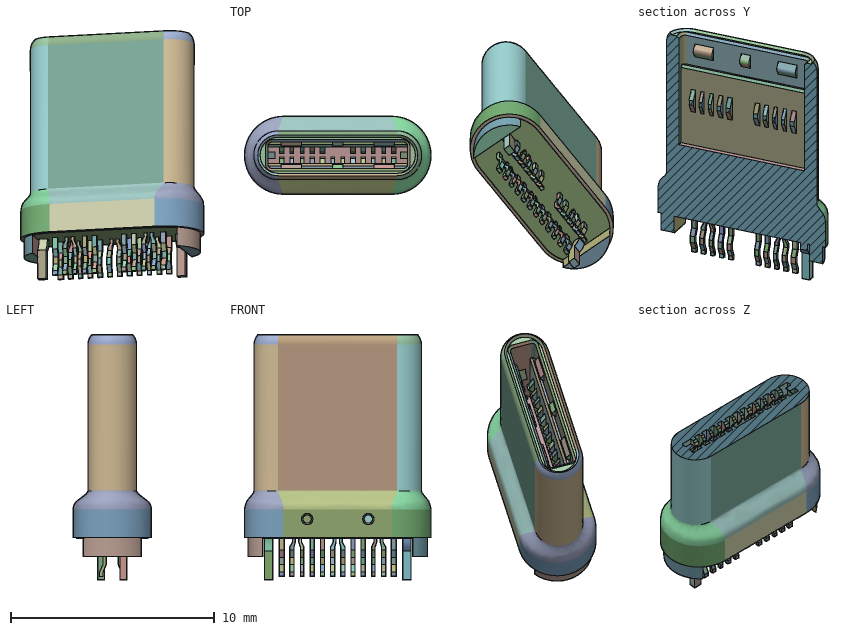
import cadquery as cq
import math


TOTAL_HEIGHT = 12.04
BASE_LENGTH = 9.17
BASE_WIDTH = 3.84
BASE_BOTTOM = 2.07
BASE_TOP = 3.44
SHELL_LENGTH = 8.25
SHELL_WIDTH = 2.4
SHELL_BOTTOM = 4.37
SHELL_RADIUS = SHELL_WIDTH / 2
SHELL_STRAIGHT = SHELL_LENGTH - SHELL_WIDTH

SHOULDER_SECTIONS = 7
SHOULDER_SKEW = 1.4

RIM_HEIGHT = 0.48
RIM_INSET = 0.19
LEAD_IN = 0.12

CHAMBER_LENGTH = 6.84
CHAMBER_WIDTH = 1.29
CHAMBER_CORNER = 0.18
CHAMBER_FLOOR = 10.23
SLOT_WIDTH = 0.81
SLOT_FLOOR = 6.02

TAB_CENTRE_Z = 11.08
TAB_HEIGHT = 0.7
TAB_RAMP_DEPTH = 0.16
TAB_REACH = 0.19
TAB_NOSE = 0.24
SIDE_TAB_X = 2.28
SIDE_TAB_WIDTH = 1.01
MIDDLE_TAB_WIDTH = 0.5

CONTACT_COUNT = 12
CONTACT_ROW_SPAN = 5.5
PITCH = CONTACT_ROW_SPAN / (CONTACT_COUNT - 1)
HALF_CONTACT_WIDTHS = [0.24, 0.17, 0.17, 0.2, 0.24, 0.17]
CONTACT_CENTRE_Z = 8.43
CONTACT_HEIGHT = 1.2
CONTACT_RAMP_DEPTH = 0.24
CONTACT_REACH = 0.33
CONTACT_NOSE = 0.24

LATCH_CENTRE_Z = 8.67
LATCH_HEIGHT = 0.96
LATCH_REACH = 0.33
LATCH_WIDTH = 0.33

DIMPLE_X = 3 * PITCH
DIMPLE_Z = 2.99
DIMPLE_MOUTH_RADIUS = 0.28
DIMPLE_FLOOR_RADIUS = 0.2
DIMPLE_DEPTH = 0.15

INSERT_INSET = 0.17
INSERT_DROP = 0.04
WING_BOTTOM = 1.14
WING_INNER_X = 3.67

HALF_PIN_WIDTHS = [0.25, 0.22, 0.18, 0.22, 0.22, 0.22]
PIN_BOTTOM = 0.17
PIN_THICKNESS = 0.17
PIN_FOOT_Y = 0.46
PIN_WAIST_Y = 0.29
LOWER_BEND = (0.37, 0.75)
UPPER_BEND = (1.1, 1.47)
NECK_BEND = (1.61, 1.85)
NECK_WIDTH = 0.15
NECK_SHIFT = 0.1

LEG_X = 3.4
LEG_WIDTH = 0.42
LEG_FOOT_Y = 0.37
LEG_ROOT_Y = 0.07
LEG_THICKNESS = 0.35
LEG_BEND = (1.42, BASE_BOTTOM)

ROOT_Z = BASE_BOTTOM + 0.12


def stadium(length, width, z):
    """A stadium outline lying at height z."""
    return cq.Workplane("XY", origin=(0, 0, z)).slot2D(length, width)


def box(x_size, y_size, z_low, z_high):
    """A block centred on the Z axis."""
    return cq.Workplane("XY", origin=(0, 0, z_low)).rect(x_size, y_size).extrude(z_high - z_low)


def make_shoulder():
    """Smooth S-shaped shoulder leading from the base outline to the shell outline."""
    outlines = []
    for section in range(SHOULDER_SECTIONS):
        rise = section / (SHOULDER_SECTIONS - 1)
        inset = (1 - math.cos(math.pi * rise**SHOULDER_SKEW)) / 2
        length = BASE_LENGTH + inset * (SHELL_LENGTH - BASE_LENGTH)
        width = BASE_WIDTH + inset * (SHELL_WIDTH - BASE_WIDTH)
        z = BASE_TOP + rise * (SHELL_BOTTOM - BASE_TOP)
        outlines.append(stadium(length, width, z).wires().val())
    return cq.Workplane(cq.Solid.makeLoft(outlines))


def make_shell():
    """Solid stadium column whose top rim curves inward."""
    rim_start = TOTAL_HEIGHT - RIM_HEIGHT
    rim_arc_radius = (RIM_HEIGHT**2 + RIM_INSET**2) / (2 * RIM_INSET)
    mid_angle = math.asin(RIM_HEIGHT / rim_arc_radius) / 2
    rim_middle = (
        SHELL_RADIUS - rim_arc_radius * (1 - math.cos(mid_angle)),
        rim_start + rim_arc_radius * math.sin(mid_angle),
    )
    top_radius = SHELL_RADIUS - RIM_INSET

    def half_profile(plane):
        return (
            plane.moveTo(0, SHELL_BOTTOM)
            .lineTo(SHELL_RADIUS, SHELL_BOTTOM)
            .lineTo(SHELL_RADIUS, rim_start)
            .threePointArc(rim_middle, (top_radius, TOTAL_HEIGHT))
            .lineTo(0, TOTAL_HEIGHT)
            .close()
        )

    end_x = SHELL_STRAIGHT / 2
    half = half_profile(cq.Workplane("YZ", origin=(-end_x, 0, 0))).extrude(SHELL_STRAIGHT)
    shell = half.union(half.mirror("XZ"))
    for x in (-end_x, end_x):
        end = half_profile(cq.Workplane("XZ", origin=(x, 0, 0))).revolve(360, (0, 0), (0, 1))
        shell = shell.union(end)
    return shell


def make_lead_in():
    """Stadium funnel that opens onto the whole top of the rim, as a cutter."""
    length = SHELL_LENGTH - 2 * RIM_INSET
    width = SHELL_WIDTH - 2 * RIM_INSET
    top = stadium(length, width, TOTAL_HEIGHT)
    bottom = stadium(length - 2 * LEAD_IN, width - 2 * LEAD_IN, TOTAL_HEIGHT - LEAD_IN)
    return cq.Workplane(cq.Solid.makeLoft([bottom.wires().val(), top.wires().val()], True))


def make_cavity():
    """Lead-in, bevelled mouth, front chamber, sloping ledge and tongue slot, as one cutter."""
    mouth_z = TOTAL_HEIGHT - LEAD_IN
    chamber = box(CHAMBER_LENGTH, CHAMBER_WIDTH, CHAMBER_FLOOR, mouth_z)
    chamber = chamber.edges("|Z").fillet(CHAMBER_CORNER)
    bevel = 2 * LEAD_IN
    opening = box(CHAMBER_LENGTH + bevel, CHAMBER_WIDTH + bevel, CHAMBER_FLOOR, mouth_z)
    opening = opening.edges("|Z").fillet(CHAMBER_CORNER + LEAD_IN)
    mouth_top = opening.faces(">Z").wires().val()
    mouth_bottom = chamber.translate((0, 0, -LEAD_IN)).faces(">Z").wires().val()
    mouth = cq.Workplane(cq.Solid.makeLoft([mouth_bottom, mouth_top], True))
    slot = box(CHAMBER_LENGTH, SLOT_WIDTH, SLOT_FLOOR, CHAMBER_FLOOR)
    half_slot = SLOT_WIDTH / 2
    slope = (
        cq.Workplane("YZ", origin=(-CHAMBER_LENGTH / 2, 0, 0))
        .moveTo(-half_slot, CHAMBER_FLOOR - LEAD_IN)
        .lineTo(half_slot, CHAMBER_FLOOR - LEAD_IN)
        .lineTo(half_slot + LEAD_IN, CHAMBER_FLOOR)
        .lineTo(-half_slot - LEAD_IN, CHAMBER_FLOOR)
        .close()
        .extrude(CHAMBER_LENGTH)
    )
    return make_lead_in().union(chamber).union(mouth).union(slot).union(slope)


def make_spring(x, width, wall_y, centre_z, height, ramp_depth, reach, nose):
    """Round-nosed wedge standing on the +Y wall and pointing to -Y."""
    ramp_y = wall_y - ramp_depth
    return (
        cq.Workplane("YZ", origin=(x - width / 2, 0, centre_z))
        .moveTo(wall_y, height / 2)
        .lineTo(ramp_y, nose / 2)
        .threePointArc((wall_y - reach, 0), (ramp_y, -nose / 2))
        .lineTo(wall_y, -height / 2)
        .close()
        .extrude(width)
    )


def make_tabs():
    """Three spring tabs on each long wall of the chamber."""
    tabs = cq.Workplane()
    layout = [(-SIDE_TAB_X, SIDE_TAB_WIDTH), (0, MIDDLE_TAB_WIDTH), (SIDE_TAB_X, SIDE_TAB_WIDTH)]
    for x, width in layout:
        tab = make_spring(
            x, width, CHAMBER_WIDTH / 2, TAB_CENTRE_Z, TAB_HEIGHT, TAB_RAMP_DEPTH, TAB_REACH, TAB_NOSE
        )
        tabs = tabs.add(tab).add(tab.mirror("XZ"))
    return tabs


def column_x(index):
    """X of a contact and of the pin below it."""
    return (index - (CONTACT_COUNT - 1) / 2) * PITCH


def is_middle(index):
    """True for the two middle columns, which have no contact or pin on the +Y side."""
    return index in (CONTACT_COUNT // 2 - 1, CONTACT_COUNT // 2)


def make_contacts():
    """Contact springs on both long walls of the slot, twelve on -Y and ten on +Y."""
    contacts = cq.Workplane()
    widths = HALF_CONTACT_WIDTHS + HALF_CONTACT_WIDTHS[::-1]
    for index, width in enumerate(widths):
        contact = make_spring(
            column_x(index), width, SLOT_WIDTH / 2, CONTACT_CENTRE_Z, CONTACT_HEIGHT,
            CONTACT_RAMP_DEPTH, CONTACT_REACH, CONTACT_NOSE,
        )
        contacts = contacts.add(contact.mirror("XZ"))
        if not is_middle(index):
            contacts = contacts.add(contact)
    return contacts


def make_latches():
    """A wedge-shaped latch on each short wall of the slot."""
    wall_x = CHAMBER_LENGTH / 2
    latch = (
        cq.Workplane("XZ", origin=(0, LATCH_WIDTH / 2, LATCH_CENTRE_Z))
        .moveTo(wall_x, LATCH_HEIGHT / 2)
        .lineTo(wall_x - LATCH_REACH, 0)
        .lineTo(wall_x, -LATCH_HEIGHT / 2)
        .close()
        .extrude(LATCH_WIDTH)
    )
    return latch.add(latch.mirror("YZ"))


def make_dimples():
    """Two shallow tapered dimples in the -Y face of the base, as cutters."""
    taper = math.degrees(math.atan2(DIMPLE_MOUTH_RADIUS - DIMPLE_FLOOR_RADIUS, DIMPLE_DEPTH))
    return (
        cq.Workplane("XZ", origin=(0, -BASE_WIDTH / 2, DIMPLE_Z))
        .pushPoints([(-DIMPLE_X, 0), (DIMPLE_X, 0)])
        .circle(DIMPLE_MOUTH_RADIUS)
        .extrude(-DIMPLE_DEPTH, taper=taper)
    )


def make_insert():
    """Thin plate under the base with a downward wing at each rounded end."""
    length = BASE_LENGTH - 2 * INSERT_INSET
    width = BASE_WIDTH - 2 * INSERT_INSET
    insert = stadium(length, width, WING_BOTTOM).extrude(BASE_BOTTOM - WING_BOTTOM)
    between_wings = box(2 * WING_INNER_X, width, WING_BOTTOM, BASE_BOTTOM - INSERT_DROP)
    return insert.cut(between_wings)


def bent_strip(plane, path, depth):
    """Flat strip given by (low side, high side, z) stations, extruded on both sides of the plane."""
    outline = [(low, z) for low, high, z in path] + [(high, z) for low, high, z in reversed(path)]
    return cq.Workplane(plane).polyline(outline).close().extrude(depth / 2, both=True)


def make_pin(index, width):
    """Pin of the +Y row: kinked toward the middle plane, some with a narrow shifted neck."""
    foot = (PIN_FOOT_Y, PIN_FOOT_Y + PIN_THICKNESS)
    waist = (PIN_WAIST_Y, PIN_WAIST_Y + PIN_THICKNESS)
    side_path = [
        (*foot, PIN_BOTTOM),
        (*foot, LOWER_BEND[0]),
        (*waist, LOWER_BEND[1]),
        (*waist, UPPER_BEND[0]),
        (*foot, UPPER_BEND[1]),
        (*foot, ROOT_Z),
    ]
    side = bent_strip("YZ", side_path, BASE_LENGTH)

    lean = {1: NECK_SHIFT, 2: -NECK_SHIFT}.get(index % 4, 0)
    neck_width = NECK_WIDTH if lean else width
    x = column_x(index)
    body = (x - width / 2, x + width / 2)
    neck = (x + lean - neck_width / 2, x + lean + neck_width / 2)
    front_path = [(*body, PIN_BOTTOM), (*body, NECK_BEND[0]), (*neck, NECK_BEND[1]), (*neck, ROOT_Z)]
    return side.intersect(bent_strip("XZ", front_path, BASE_WIDTH))


def make_pins():
    """Both pin rows, twelve on -Y and ten on +Y."""
    pins = cq.Workplane()
    for index, width in enumerate(HALF_PIN_WIDTHS + HALF_PIN_WIDTHS[::-1]):
        pin = make_pin(index, width)
        pins = pins.add(pin.mirror("XZ"))
        if not is_middle(index):
            pins = pins.add(pin)
    return pins


def make_legs():
    """Heavy legs curving outward below the base, the +X one to +Y and the -X one to -Y."""
    bend_low, bend_high = LEG_BEND
    bend_depth = LEG_FOOT_Y - LEG_ROOT_Y
    bend_height = bend_high - bend_low
    bend_radius = (bend_height**2 + bend_depth**2) / (2 * bend_depth)
    mid_angle = math.asin(bend_height / bend_radius) / 2
    middle_y = LEG_ROOT_Y + bend_radius * (1 - math.cos(mid_angle))
    middle_z = bend_high - bend_radius * math.sin(mid_angle)
    leg = (
        cq.Workplane("YZ", origin=(LEG_X - LEG_WIDTH / 2, 0, 0))
        .moveTo(LEG_FOOT_Y, 0)
        .lineTo(LEG_FOOT_Y, bend_low)
        .threePointArc((middle_y, middle_z), (LEG_ROOT_Y, bend_high))
        .lineTo(LEG_ROOT_Y, ROOT_Z)
        .lineTo(LEG_ROOT_Y + LEG_THICKNESS, ROOT_Z)
        .lineTo(LEG_ROOT_Y + LEG_THICKNESS, bend_high)
        .threePointArc((middle_y + LEG_THICKNESS, middle_z), (LEG_FOOT_Y + LEG_THICKNESS, bend_low))
        .lineTo(LEG_FOOT_Y + LEG_THICKNESS, 0)
        .close()
        .extrude(LEG_WIDTH)
    )
    return leg.add(leg.rotate((0, 0, 0), (0, 0, 1), 180))


def union_all(body, parts):
    """Join every solid of parts to body."""
    for part in parts.vals():
        body = body.union(cq.Workplane(part))
    return body


result = stadium(BASE_LENGTH, BASE_WIDTH, BASE_BOTTOM).extrude(BASE_TOP - BASE_BOTTOM)
result = result.union(make_shoulder()).union(make_shell())
result = result.cut(make_cavity()).cut(make_dimples()).union(make_insert())
for parts in (make_tabs(), make_contacts(), make_latches(), make_pins(), make_legs()):
    result = union_all(result, parts)